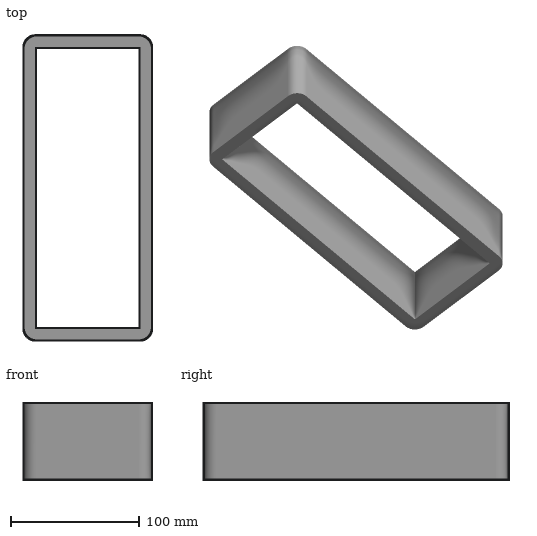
import cadquery as cq

width = 100.5
length = 238.0
height = 60.0

wall = 10.0
corner_radius = wall

outer_block = (
    cq.Workplane("XY")
    .rect(width, length)
    .extrude(height)
    .edges("|Z")
    .fillet(corner_radius)
)

opening = (
    cq.Workplane("XY")
    .rect(width - 2 * wall, length - 2 * wall)
    .extrude(height)
)

result = outer_block.cut(opening)